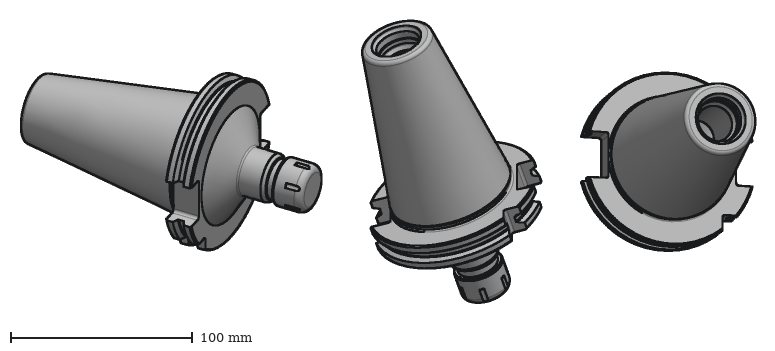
import cadquery as cq
import math


TAPER_END_X = 101.0
TAPER_END_RADIUS = 34.8
TAPER_SLOPE = 7 / 48
SMALL_END_RADIUS = TAPER_END_RADIUS - TAPER_END_X * TAPER_SLOPE
SMALL_END_FILLET = 2.4
RELIEF_X = 102.1
RELIEF_RADIUS = 34.5
RELIEF_FILLET = 1.0

FLANGE_LEFT_X = 104.8
FLANGE_RIGHT_X = 120.6
FLANGE_RADIUS = 48.7
FLANGE_CHAMFER = 0.9
GROOVE_CENTER_X = 112.7
GROOVE_HALF_WIDTH = 3.35
GROOVE_DEPTH = 3.5
GROOVE_WALL_ANGLE = 25
GROOVE_FLOOR_HALF_WIDTH = GROOVE_HALF_WIDTH - GROOVE_DEPTH * math.tan(math.radians(GROOVE_WALL_ANGLE))
GROOVE_FILLET = 0.5

SLOT_WIDTH = 25.7
SLOT_FLOOR_PLUS_Y = 35.3
SLOT_FLOOR_MINUS_Y = -37.4
NOTCH_Y = -29.7
NOTCH_Z = -29.9
CUT_CORNER_FILLET = 1.7
CUT_REACH = 51.5
CUT_MARGIN = 0.5

CONE_BASE_RADIUS = 34.3
CONE_ANGLE = 60
NECK_RADIUS = 14.0
CONE_END_X = FLANGE_RIGHT_X + (CONE_BASE_RADIUS - NECK_RADIUS) / math.tan(math.radians(CONE_ANGLE))
NECK_FILLET = 1.2
NECK_BEVEL_X = 146.5
NECK_BEVEL_LENGTH = 0.5
NECK_BEVEL_DEPTH = 0.2
NECK_ROUND = 1.7
NECK_END_X = NECK_BEVEL_X + NECK_BEVEL_LENGTH + NECK_ROUND
SPIGOT_RADIUS = 11.7
SPIGOT_STEP_LENGTH = 0.5

MOUTH_RADIUS = 14.2
MOUTH_CONE_RADIUS = 13.7
MOUTH_CONE_X = 0.7
PILOT_RADIUS = 12.4
PILOT_X = 2.4
PILOT_END_X = 6.9
UNDERCUT_RADIUS = 12.0
UNDERCUT_X = PILOT_END_X + PILOT_RADIUS - UNDERCUT_RADIUS
UNDERCUT_END_X = 10.1
THREAD_CONE_X = 11.0
THREAD_CONE_RADIUS = 11.7
THREAD_RADIUS = 10.1
THREAD_X = 13.4
THREAD_END_X = 51.5
DRILL_POINT_ANGLE = 118
DRILL_TIP_X = THREAD_END_X + THREAD_RADIUS / math.tan(math.radians(DRILL_POINT_ANGLE / 2))

NUT_BACK_X = 153.5
NUT_FRONT_X = 171.6
NUT_RADIUS = 14.0
NUT_CHAMFER_LENGTH = 1.0
NUT_CHAMFER_DEPTH = 0.5
NUT_FILLET = 4.1
WRENCH_SLOT_COUNT = 6
WRENCH_SLOT_ROUND = 1.9
WRENCH_SLOT_DEPTH = 0.7
WRENCH_SLOT_BACK_X = 161.3


def revolve_about_x(outline):
    return outline.close().revolve(360, (0, 0, 0), (1, 0, 0))


def taper():
    body = revolve_about_x(
        cq.Workplane("XY")
        .moveTo(0, 0)
        .lineTo(0, SMALL_END_RADIUS)
        .lineTo(TAPER_END_X, TAPER_END_RADIUS)
        .lineTo(RELIEF_X, RELIEF_RADIUS)
        .lineTo(RELIEF_X, 0)
    )
    return body.faces("<X").edges().fillet(SMALL_END_FILLET)


def flange():
    relief_end_x = FLANGE_LEFT_X - RELIEF_FILLET
    groove_floor_radius = FLANGE_RADIUS - GROOVE_DEPTH
    outline = (
        cq.Workplane("XY")
        .moveTo(RELIEF_X, 0)
        .lineTo(RELIEF_X, RELIEF_RADIUS)
        .lineTo(relief_end_x, RELIEF_RADIUS)
        .radiusArc((FLANGE_LEFT_X, RELIEF_RADIUS + RELIEF_FILLET), -RELIEF_FILLET)
        .lineTo(FLANGE_LEFT_X, FLANGE_RADIUS - FLANGE_CHAMFER)
        .lineTo(FLANGE_LEFT_X + FLANGE_CHAMFER, FLANGE_RADIUS)
        .lineTo(GROOVE_CENTER_X - GROOVE_HALF_WIDTH, FLANGE_RADIUS)
        .lineTo(GROOVE_CENTER_X - GROOVE_FLOOR_HALF_WIDTH, groove_floor_radius)
        .lineTo(GROOVE_CENTER_X + GROOVE_FLOOR_HALF_WIDTH, groove_floor_radius)
        .lineTo(GROOVE_CENTER_X + GROOVE_HALF_WIDTH, FLANGE_RADIUS)
        .lineTo(FLANGE_RIGHT_X - FLANGE_CHAMFER, FLANGE_RADIUS)
        .lineTo(FLANGE_RIGHT_X, FLANGE_RADIUS - FLANGE_CHAMFER)
        .lineTo(FLANGE_RIGHT_X, 0)
    )
    groove_span = cq.selectors.BoxSelector(
        (GROOVE_CENTER_X - GROOVE_HALF_WIDTH, -FLANGE_RADIUS, -FLANGE_RADIUS),
        (GROOVE_CENTER_X + GROOVE_HALF_WIDTH, FLANGE_RADIUS, FLANGE_RADIUS),
    )
    groove_circles = revolve_about_x(outline).edges("%CIRCLE").edges(groove_span)
    return groove_circles.edges(cq.selectors.RadiusNthSelector(0)).fillet(GROOVE_FILLET)


def flange_cut(y_near, y_far, z_low, z_high, floor_edges):
    """Block through the flange thickness, rounded along the selected floor edges."""
    return (
        cq.Workplane("XY")
        .box(FLANGE_RIGHT_X - FLANGE_LEFT_X + 2 * CUT_MARGIN, abs(y_far - y_near), z_high - z_low)
        .edges(floor_edges)
        .fillet(CUT_CORNER_FILLET)
        .translate(((FLANGE_LEFT_X + FLANGE_RIGHT_X) / 2, (y_near + y_far) / 2, (z_low + z_high) / 2))
    )


def drive_slot(floor_y, rim_y, floor_edges):
    return flange_cut(floor_y, rim_y, -SLOT_WIDTH / 2, SLOT_WIDTH / 2, floor_edges)


def orientation_notch():
    return flange_cut(NOTCH_Y, -CUT_REACH, -CUT_REACH, NOTCH_Z, "|X and >Y and >Z")


def nose():
    """Cone, neck and spigot, up to the back of the nut."""
    round_start_radius = NECK_RADIUS - NECK_BEVEL_DEPTH
    body = revolve_about_x(
        cq.Workplane("XY")
        .moveTo(FLANGE_RIGHT_X, 0)
        .lineTo(FLANGE_RIGHT_X, CONE_BASE_RADIUS)
        .lineTo(CONE_END_X, NECK_RADIUS)
        .lineTo(NECK_BEVEL_X, NECK_RADIUS)
        .lineTo(NECK_BEVEL_X + NECK_BEVEL_LENGTH, round_start_radius)
        .radiusArc((NECK_END_X, round_start_radius - NECK_ROUND), NECK_ROUND)
        .lineTo(NECK_END_X + SPIGOT_STEP_LENGTH, SPIGOT_RADIUS)
        .lineTo(NUT_BACK_X, SPIGOT_RADIUS)
        .lineTo(NUT_BACK_X, 0)
    )
    cone_end = cq.selectors.BoxSelector(
        (CONE_END_X - NECK_FILLET, -NECK_RADIUS, -NECK_RADIUS),
        (CONE_END_X + NECK_FILLET, NECK_RADIUS, NECK_RADIUS),
    )
    return body.edges("%CIRCLE").edges(cone_end).fillet(NECK_FILLET)


def pull_stud_bore():
    return revolve_about_x(
        cq.Workplane("XY")
        .moveTo(0, 0)
        .lineTo(0, MOUTH_RADIUS)
        .lineTo(MOUTH_CONE_X, MOUTH_CONE_RADIUS)
        .lineTo(PILOT_X, PILOT_RADIUS)
        .lineTo(PILOT_END_X, PILOT_RADIUS)
        .lineTo(UNDERCUT_X, UNDERCUT_RADIUS)
        .lineTo(UNDERCUT_END_X, UNDERCUT_RADIUS)
        .lineTo(THREAD_CONE_X, THREAD_CONE_RADIUS)
        .lineTo(THREAD_X, THREAD_RADIUS)
        .lineTo(THREAD_END_X, THREAD_RADIUS)
        .lineTo(DRILL_TIP_X, 0)
    )


def make_holder():
    slotted_flange = (
        flange()
        .cut(drive_slot(SLOT_FLOOR_PLUS_Y, CUT_REACH, "|X and <Y"))
        .cut(drive_slot(SLOT_FLOOR_MINUS_Y, -CUT_REACH, "|X and >Y"))
        .cut(orientation_notch())
    )
    return taper().union(slotted_flange).union(nose()).cut(pull_stud_bore())


def wrench_slot(angle):
    """Round cutter for one slot that runs out through the rounded front of the nut."""
    return (
        cq.Workplane("YZ", origin=(WRENCH_SLOT_BACK_X, 0, 0))
        .center(0, NUT_RADIUS - WRENCH_SLOT_DEPTH + WRENCH_SLOT_ROUND)
        .circle(WRENCH_SLOT_ROUND)
        .extrude(NUT_FRONT_X - WRENCH_SLOT_BACK_X)
        .rotate((0, 0, 0), (1, 0, 0), angle)
    )


def make_nut():
    nut = revolve_about_x(
        cq.Workplane("XY")
        .moveTo(NUT_BACK_X, 0)
        .lineTo(NUT_BACK_X, NUT_RADIUS - NUT_CHAMFER_DEPTH)
        .lineTo(NUT_BACK_X + NUT_CHAMFER_LENGTH, NUT_RADIUS)
        .lineTo(NUT_FRONT_X - NUT_FILLET, NUT_RADIUS)
        .radiusArc((NUT_FRONT_X, NUT_RADIUS - NUT_FILLET), NUT_FILLET)
        .lineTo(NUT_FRONT_X, 0)
    )
    for index in range(WRENCH_SLOT_COUNT):
        nut = nut.cut(wrench_slot(index * 360 / WRENCH_SLOT_COUNT))
    return nut


holder = make_holder()
nut = make_nut()
result = cq.Compound.makeCompound([holder.val(), nut.val()])